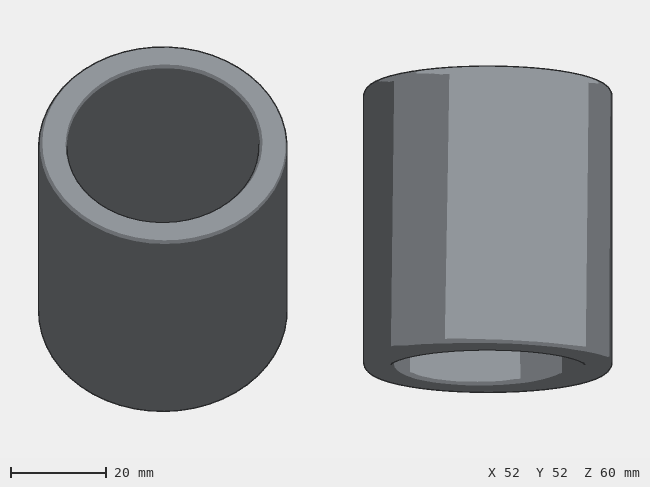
import cadquery as cq

length = 60
outer_diameter = 52.0
bore_diameter = 40.0
edge_radius = 1.8

sleeve = (
    cq.Workplane("XY")
    .circle(outer_diameter / 2)
    .circle(bore_diameter / 2)
    .extrude(length)
)

result = sleeve.faces("<Z or >Z").edges().fillet(edge_radius)